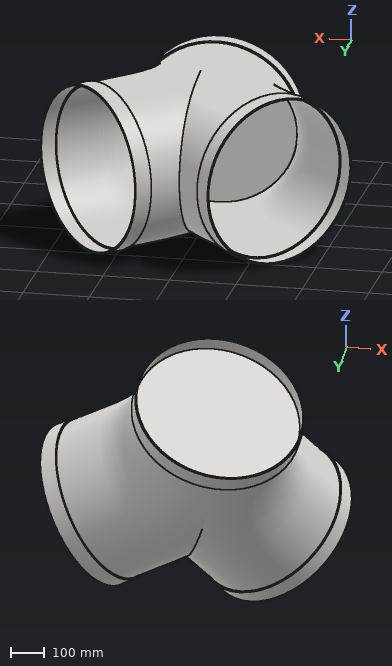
import cadquery as cq
import math

wall = 5.0
duct_diameter = 500.0
branch_angle = 45.0
bend_radius = 500.0
branch_length = 200.0
collar_length = 55.0

duct_radius = duct_diameter / 2
bore_radius = duct_radius - wall
collar_radius = duct_radius + wall
socket_depth = collar_length - wall

bend_start = (0, collar_length)


def branch_point(distance, side):
    """Centreline point of a branch at a distance past the bend end; side is +1 or -1 along X."""
    angle = math.radians(branch_angle)
    x = bend_radius * (1 - math.cos(angle)) + distance * math.sin(angle)
    y = collar_length + bend_radius * math.sin(angle) + distance * math.cos(angle)
    return (side * x, y)


def branch_cylinder(radius, start, end, side):
    """Round bar along a branch between two distances past the bend end."""
    angle = math.radians(branch_angle)
    direction = (side * math.sin(angle), math.cos(angle), 0)
    origin = (*branch_point(start, side), 0)
    plane = cq.Plane(origin=origin, xDir=(0, 0, 1), normal=direction)
    return cq.Workplane(plane).circle(radius).extrude(end - start)


def inlet_cylinder(radius, start, end):
    """Round bar along the inlet axis between two Y positions."""
    plane = cq.Plane(origin=(0, start, 0), xDir=(1, 0, 0), normal=(0, 1, 0))
    return cq.Workplane(plane).circle(radius).extrude(end - start)


def bend(radius, side):
    """Solid round elbow turning from the inlet axis towards one side."""
    plane = cq.Plane(origin=(*bend_start, 0), xDir=(1, 0, 0), normal=(0, 1, 0))
    profile = cq.Workplane(plane).circle(radius)
    pivot_x = side * bend_radius
    return profile.revolve(branch_angle, (pivot_x, 0, 0), (pivot_x, side, 0))


def branch(radius, side):
    """Solid round elbow with its straight run."""
    return bend(radius, side).union(branch_cylinder(radius, 0, branch_length - socket_depth, side))


def both_branches(radius):
    """The two mirrored branches merged along the plane of symmetry."""
    return branch(radius, 1).union(branch(radius, -1))


def outlet_collar(side):
    start = branch_length - collar_length
    return branch_cylinder(collar_radius, start, branch_length, side)


def outlet_socket(side):
    start = branch_length - socket_depth
    return branch_cylinder(duct_radius, start, branch_length, side)


result = both_branches(duct_radius)
result = result.union(inlet_cylinder(collar_radius, 0, collar_length))
for side in (1, -1):
    result = result.union(outlet_collar(side))

result = result.cut(both_branches(bore_radius))
result = result.cut(inlet_cylinder(duct_radius, 0, socket_depth))
for side in (1, -1):
    result = result.cut(outlet_socket(side))